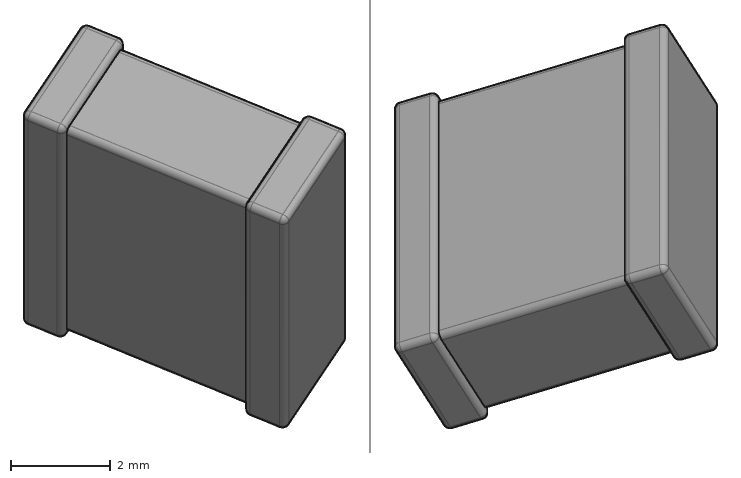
import cadquery as cq

LENGTH = 6.0
DEPTH = 2.7
HEIGHT = 6.8

TERMINAL_LENGTH = 0.95
EDGE_RADIUS = 0.14
CORE_STEP = EDGE_RADIUS

CORE_LENGTH = LENGTH - 2 * TERMINAL_LENGTH
TERMINAL_OFFSET = (LENGTH - TERMINAL_LENGTH) / 2


def make_core():
    """Ceramic block between the terminals, rounded along its four X edges."""
    core = cq.Workplane("XY").box(CORE_LENGTH, DEPTH - 2 * CORE_STEP, HEIGHT - 2 * CORE_STEP)
    return core.edges("|X").fillet(EDGE_RADIUS)


def make_terminal(center_x):
    """End terminal, a block rounded on every edge and butted against the core."""
    terminal = cq.Workplane("XY").box(TERMINAL_LENGTH, DEPTH, HEIGHT)
    return terminal.edges().fillet(EDGE_RADIUS).translate((center_x, 0, 0))


core = make_core()
terminals = [make_terminal(side * TERMINAL_OFFSET) for side in (-1, 1)]

result = cq.Compound.makeCompound([core.val(), *[terminal.val() for terminal in terminals]])